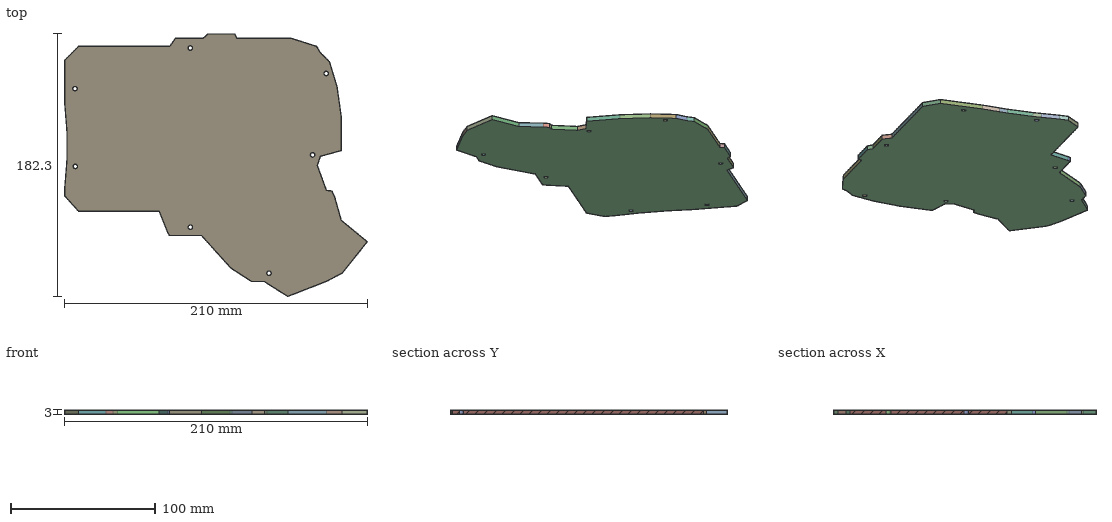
import cadquery as cq

LENGTH = 210.0
WIDTH = 182.3
THICKNESS = 3.0
HOLE_DIAMETER = 3.0

MAIN_TOP = 173.7
RAISED_TOP = 179.4
MAIN_BOTTOM = 59.0
LOWER_BOTTOM = 42.2
FOOT_BOTTOM = 10.3
RIGHT_SIDE = 192.0
CORNER_CUT = 9.7

HOLLOW_CENTER = 104.5
HOLLOW_DEPTH = 1.5
HOLLOW_SHOULDER_DEPTH = 1.0
HOLLOW_HALF_FLOOR = 9.5
HOLLOW_HALF_SHOULDER = 15.3
HOLLOW_HALF_HEIGHT = 28.4

NICK_DEPTH = 0.06


def left_side():
    """Left side from bottom to top, with the shallow hollow."""
    lower_half = [
        (0, HOLLOW_HALF_HEIGHT),
        (HOLLOW_SHOULDER_DEPTH, HOLLOW_HALF_SHOULDER),
        (HOLLOW_DEPTH, HOLLOW_HALF_FLOOR),
    ]
    below = [(x, HOLLOW_CENTER - offset) for x, offset in lower_half]
    above = [(x, HOLLOW_CENTER + offset) for x, offset in reversed(lower_half)]
    return [(0, 69.7)] + below + above + [(0, MAIN_TOP - CORNER_CUT)]


def top_side():
    """Top side from left to right: main area, raised edge and a small tab."""
    return [
        (CORNER_CUT, MAIN_TOP),
        (72.9, MAIN_TOP),
        (76.9, RAISED_TOP),
        (96.2, RAISED_TOP),
        (99.3, WIDTH),
        (118.0, WIDTH),
        (119.5, RAISED_TOP),
        (157.0, RAISED_TOP),
    ]


def right_side():
    """Right side from top to bottom: rounded shoulder, notch and tip."""
    shoulder = [
        (174.8, MAIN_TOP),
        (177.5, 169.3),
        (183.8, 163.0),
        (189.0, 145.8),
        (RIGHT_SIDE, 125.0),
    ]
    notch = [
        (RIGHT_SIDE, 101.2),
        (177.5, 97.2),
        (175.4, 91.0),
        (181.7, 73.7),
        (185.5, 73.3),
        (187.4, 69.3),
        (RIGHT_SIDE, 53.0),
    ]
    return shoulder + notch + [(LENGTH, 38.0)]


def bottom_side():
    """Bottom side from right to left: foot, slanted flank and main area."""
    foot = [
        (192.6, 16.2),
        (181.7, 10.5),
        (154.8, 0),
        (140.5, 9.0),
        (138.6, FOOT_BOTTOM),
        (129.8, FOOT_BOTTOM),
        (116.2, 19.1),
        (114.7, 20.4),
    ]
    step = [
        (95.0, LOWER_BOTTOM),
        (72.7, LOWER_BOTTOM),
        (71.5, 44.3),
        (65.5, MAIN_BOTTOM),
    ]
    main_edge = [
        (36.5, MAIN_BOTTOM),
        (33.6, MAIN_BOTTOM + NICK_DEPTH),
        (28.5, MAIN_BOTTOM),
        (CORNER_CUT, MAIN_BOTTOM),
    ]
    return foot + step + main_edge


hole_centers = [
    (7.1, 144.3),
    (7.4, 90.3),
    (87.2, 172.5),
    (87.2, 48.0),
    (181.5, 154.8),
    (172.0, 98.3),
    (141.8, 16.2),
]

outline = left_side() + top_side() + right_side() + bottom_side()
plate = cq.Workplane("XY").polyline(outline).close().extrude(THICKNESS)
holes = cq.Workplane("XY").pushPoints(hole_centers).circle(HOLE_DIAMETER / 2).extrude(THICKNESS)

result = plate.cut(holes)